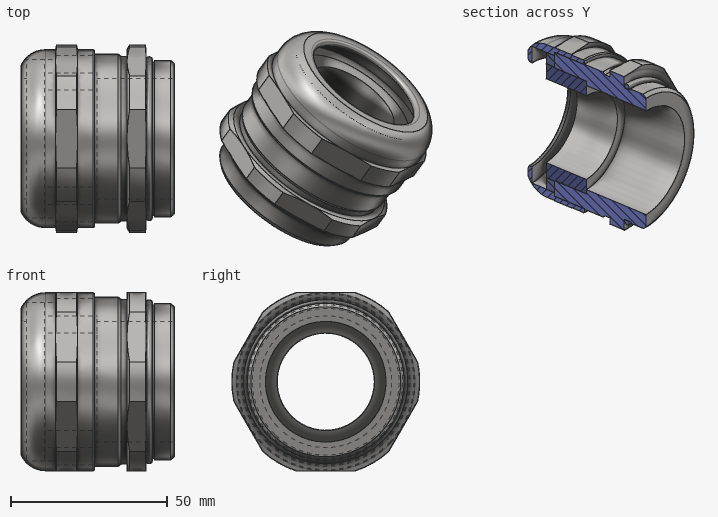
import cadquery as cq
import math


gland_length = 48.9
hex_across_flats = 57.0
hex_corner_diameter = 59.95
hex_chamfer_diameter = 56.95
seal_diameter = 42.1
thread_diameter = 53.2
cavity_diameter = 50.6

nut_diameter = 56.8
nut_end = 23.5
nut_edge_length = 0.6
nut_edge_depth = 0.3
dome_length = 7.85
dome_face_diameter = 46.8
mouth_diameter = 38.4
mouth_fillet = 1.2
lip_thickness = 1.75
nut_hex_start = 11.0
nut_hex_end = 18.0
nut_hex_chamfer = 0.3

clamp_start = 7.5
seal_end = 24.2
seal_bore = 31.0

body_start = nut_hex_start
body_diameter = 54.0
body_chamfer_start = 31.0
body_chamfer_length = 0.95
neck_diameter = 52.5
body_hex_start = 33.8
body_hex_end = 39.85
body_hex_front_chamfer = 0.85
body_hex_back_chamfer = 0.25
groove_diameter = 49.1
groove_end = 42.5
entry_thread_diameter = 50.0
entry_end_diameter = 47.8
entry_chamfer_length = 1.25
entry_bore = 38.5

o_ring_diameter = 52.3
o_ring_section = 2.05


def revolve(profile):
    """Turn a closed (X, radius) profile around the X axis."""
    return profile.close().revolve(360, (0, 0, 0), (1, 0, 0))


def rod(start, end, diameter):
    """Plain cylinder along X."""
    return cq.Workplane("YZ", origin=(start, 0, 0)).circle(diameter / 2).extrude(end - start)


def tube(start, end, outer_diameter, inner_diameter):
    """Plain ring along X."""
    return rod(start, end, outer_diameter).cut(rod(start, end, inner_diameter))


def chamfered_hexagon(start, end, front_chamfer, back_chamfer):
    """Hexagon with flats facing +Z and -Z, its corners turned down and chamfered at both faces."""
    hexagon = (
        cq.Workplane("YZ", origin=(start, 0, 0))
        .polygon(6, hex_across_flats / math.cos(math.pi / 6))
        .extrude(end - start)
    )
    corner_radius = hex_corner_diameter / 2
    face_radius = hex_chamfer_diameter / 2
    turned_blank = revolve(
        cq.Workplane("XY")
        .moveTo(start, 0)
        .lineTo(start, face_radius)
        .lineTo(start + front_chamfer, corner_radius)
        .lineTo(end - back_chamfer, corner_radius)
        .lineTo(end, face_radius)
        .lineTo(end, 0)
    )
    return hexagon.intersect(turned_blank)


def make_cap_nut():
    nut_radius = nut_diameter / 2
    face_radius = dome_face_diameter / 2
    mouth_radius = mouth_diameter / 2

    dome_drop = nut_radius - face_radius
    dome_radius = (dome_length**2 + dome_drop**2) / (2 * dome_drop)
    dome_center_radius = nut_radius - dome_radius
    half_angle = math.asin(dome_length / dome_radius) / 2
    dome_middle = (
        dome_length - dome_radius * math.sin(half_angle),
        dome_center_radius + dome_radius * math.cos(half_angle),
    )
    fillet_middle = (
        mouth_fillet * (1 - math.cos(math.pi / 4)),
        mouth_radius + mouth_fillet * (1 - math.sin(math.pi / 4)),
    )
    shell = revolve(
        cq.Workplane("XY")
        .moveTo(0, face_radius)
        .threePointArc(dome_middle, (dome_length, nut_radius))
        .lineTo(nut_end - nut_edge_length, nut_radius)
        .lineTo(nut_end, nut_radius - nut_edge_depth)
        .lineTo(nut_end, mouth_radius)
        .lineTo(mouth_fillet, mouth_radius)
        .threePointArc(fillet_middle, (0, mouth_radius + mouth_fillet))
    )
    hexagon = chamfered_hexagon(nut_hex_start, nut_hex_end, nut_hex_chamfer, nut_hex_chamfer)
    return (
        shell.union(hexagon)
        .cut(rod(lip_thickness, nut_end, cavity_diameter))
        .cut(rod(body_start, nut_end, thread_diameter))
    )


def make_clamping_ring():
    return tube(clamp_start, body_start, cavity_diameter, seal_diameter)


def make_seal():
    return tube(clamp_start, seal_end, seal_diameter, seal_bore)


def make_gland_body():
    thread_radius = entry_thread_diameter / 2
    body_radius = body_diameter / 2
    neck_radius = neck_diameter / 2
    groove_radius = groove_diameter / 2
    turned = revolve(
        cq.Workplane("XY")
        .moveTo(body_start, 0)
        .lineTo(body_start, thread_diameter / 2)
        .lineTo(nut_end, thread_diameter / 2)
        .lineTo(nut_end, body_radius)
        .lineTo(body_chamfer_start, body_radius)
        .lineTo(body_chamfer_start + body_chamfer_length, neck_radius)
        .lineTo(body_hex_end, neck_radius)
        .lineTo(body_hex_end, groove_radius)
        .lineTo(groove_end, groove_radius)
        .lineTo(groove_end, thread_radius)
        .lineTo(gland_length - entry_chamfer_length, thread_radius)
        .lineTo(gland_length, entry_end_diameter / 2)
        .lineTo(gland_length, 0)
    )
    hexagon = chamfered_hexagon(
        body_hex_start, body_hex_end, body_hex_front_chamfer, body_hex_back_chamfer
    )
    return (
        turned.union(hexagon)
        .cut(rod(body_start, seal_end, seal_diameter))
        .cut(rod(seal_end, gland_length, entry_bore))
    )


def make_o_ring():
    """Round-section ring, flattened where it sits on the groove floor beside the hexagon."""
    section_radius = o_ring_section / 2
    center_x = body_hex_end + section_radius
    center_radius = o_ring_diameter / 2 - section_radius
    floor_radius = groove_diameter / 2
    half_flat = math.sqrt(section_radius**2 - (center_radius - floor_radius) ** 2)
    return revolve(
        cq.Workplane("XY")
        .moveTo(center_x - half_flat, floor_radius)
        .threePointArc((center_x, o_ring_diameter / 2), (center_x + half_flat, floor_radius))
    )


cap_nut = make_cap_nut()
clamping_ring = make_clamping_ring()
seal = make_seal()
gland_body = make_gland_body()
o_ring = make_o_ring()

result = cq.Compound.makeCompound(
    [cap_nut.val(), clamping_ring.val(), seal.val(), gland_body.val(), o_ring.val()]
)